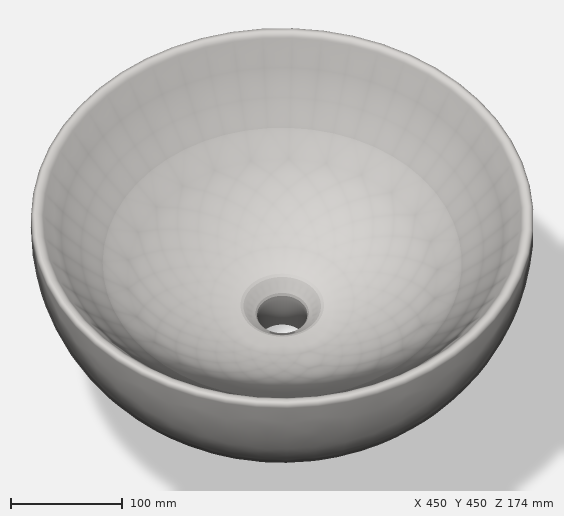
import cadquery as cq
import math

height = 174.0
outer_radius = 225.0
base_radius = 117.0

widest_z = 160.5

crest_radius = 220.5
rim_inner_radius = 213.8
rim_inner_drop = 3.5
rim_outer_drop = 4.5

floor_edge_radius = 160.5
floor_edge_z = 109.5
floor_mid_radius = 101.5
floor_mid_z = 71.0

lip_radius = 37.5
lip_z = 52.0
lip_bevel_width = 2.5
lip_bevel_drop = 1.5
seat_bottom_radius = 24.0
seat_bottom_z = 41.5
drain_radius = 22.5
drain_top_z = 39.0

flare = outer_radius - base_radius
wall_arc_radius = (flare**2 + widest_z**2) / (2 * flare)


def wall_point(z):
    """Point (radius, z) on the outer wall at height z."""
    arc_centre_radius = outer_radius - wall_arc_radius
    radius = arc_centre_radius + math.sqrt(wall_arc_radius**2 - (widest_z - z) ** 2)
    return (radius, z)


half_section = (
    cq.Workplane("XZ")
    .moveTo(base_radius, 0)
    .lineTo(drain_radius, 0)
    .lineTo(drain_radius, drain_top_z)
    .lineTo(seat_bottom_radius, seat_bottom_z)
    .lineTo(lip_radius - lip_bevel_width, lip_z - lip_bevel_drop)
    .lineTo(lip_radius, lip_z)
    .threePointArc((floor_mid_radius, floor_mid_z), (floor_edge_radius, floor_edge_z))
    .tangentArcPoint((rim_inner_radius, height - rim_inner_drop), relative=False)
    .tangentArcPoint((crest_radius, height), relative=False)
    .tangentArcPoint(wall_point(height - rim_outer_drop), relative=False)
    .threePointArc(wall_point(height / 2), (base_radius, 0))
    .close()
)

result = half_section.revolve(360, (0, 0, 0), (0, 1, 0))